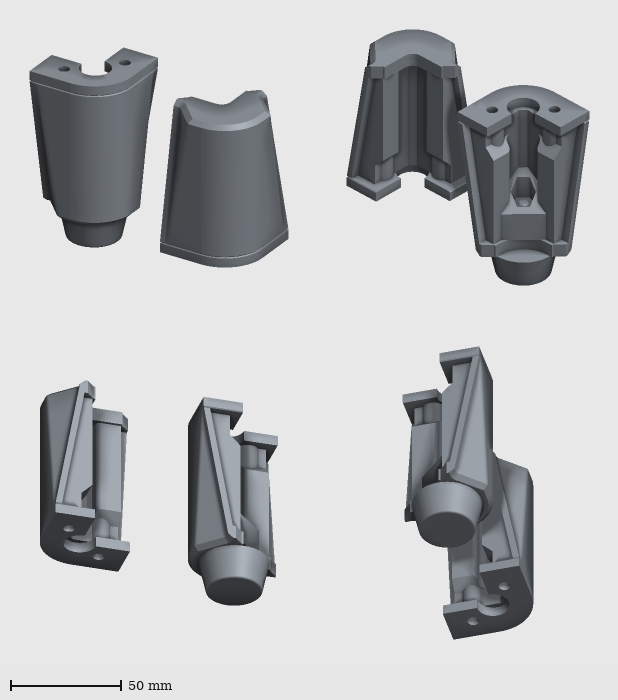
import cadquery as cq
import math


WIDTH = 42.1
ARM = 18.6
CORNER_RADIUS = 20.2
NOTCH_X = WIDTH - ARM
POST_PITCH = 70.0

PLATE_THICKNESS = 5.0
HOUSING_LENGTH = 60.4
CAP_THICKNESS = 6.5
POST_LENGTH = HOUSING_LENGTH + CAP_THICKNESS
LEFT_JOINT_Z = 82.0
RIGHT_JOINT_Z = 19.2
JOINT_CHAMFER = 0.5
CAP_EDGE_CHAMFER = 2.1

NOTCH_HOLE_DIAMETER = 15.0
SCREW_HOLE_DIAMETER = 5.4
SCREW_EDGE_DISTANCE = 10.1
SCREW_END_DISTANCE = 12.1

POCKET_SLOPE = 0.178
POCKET_CORNER_X = 3.5
POCKET_FILLET = 3.0
LIP_THICKNESS = 2.9
LIP_DEPTH = 4.3

CHANNEL_DEPTH = 5.0
CHANNEL_CORNER_CUT = 2.9
CHANNEL_MOUTH_Y = 28.6
CHANNEL_ROUND = 2.5
CHANNEL_BEVEL_START = (27.6, 25.5)
CHANNEL_BEVEL_END_Y = 23.3
RECESS_LENGTH = 10.0
BOSS_DIAMETER = 11.0

CAP_STEP = 1.5
CAP_END_CHAMFER = 4.1
CAP_END_SETBACK = 3.9
LEFT_CAP_INNER_RADIUS = 15.0
RIGHT_CAP_INNER_RADIUS = 4.76

FOOT_X = 21.4
FOOT_Y = WIDTH - FOOT_X
FOOT_TOP_Z = LEFT_JOINT_Z - POST_LENGTH
FOOT_TOP_RADIUS = 16.0
FOOT_BASE_RADIUS = 12.8
FOOT_EDGE_FILLET = 1.0
BOLT_DIAMETER = 5.0
BOLT_CHAMFER = 0.6
BOLT_BOTTOM_Z = 5.6
BOLT_TOP_Z = 37.2
NUT_FLATS = 9.9
NUT_TOP_Z = 36.5
NUT_HEIGHT = 4.5

GUSSET_WALL_OFFSET = 9.5
GUSSET_WALL_TOP_Z = 35.5
GUSSET_DEPTH = 5.0

BIG = 2 * WIDTH


def diagonal_mirror(shape):
    """Swap the two arms: mirror about the plane x + y = WIDTH."""
    return shape.mirror(cq.Vector(1, 1, 0), (WIDTH, 0, 0))


def on_both_arms(shape):
    return shape.union(diagonal_mirror(shape))


def outline_block(height):
    """Square block with the large rounded corner, standing on Z = 0."""
    block = cq.Workplane("XY").box(WIDTH, WIDTH, height, centered=False)
    return block.edges("|Z and >X and <Y").fillet(CORNER_RADIUS)


def inner_notch(offset=0.0):
    """Square cutter that turns the block into an L; offset makes the arms thicker."""
    notch = cq.Workplane("XY").box(BIG, BIG, 2 * BIG, centered=(True, True, True))
    return notch.translate((NOTCH_X - offset - BIG / 2, ARM + offset + BIG / 2, 0))


def near_screw_axis():
    return (SCREW_END_DISTANCE, SCREW_EDGE_DISTANCE)


def make_plate():
    plate = outline_block(PLATE_THICKNESS).faces(">Z").edges().chamfer(JOINT_CHAMFER)
    plate = plate.cut(inner_notch())
    notch_hole = cq.Workplane("XY").center(NOTCH_X, ARM).circle(NOTCH_HOLE_DIAMETER / 2)
    plate = plate.cut(notch_hole.extrude(PLATE_THICKNESS))
    screw_hole = cq.Workplane("XY").center(*near_screw_axis()).circle(SCREW_HOLE_DIAMETER / 2)
    plate = plate.cut(on_both_arms(screw_hole.extrude(PLATE_THICKNESS)))
    return plate.translate((0, 0, -PLATE_THICKNESS))


def pocket_cutter():
    """Prism leaning along +Y that cuts the arm end below a straight wall and a diagonal."""
    profile = [(-POCKET_CORNER_X, 0), (POCKET_CORNER_X, 0), (BIG, POCKET_CORNER_X - BIG)]
    profile.append((-POCKET_CORNER_X, POCKET_CORNER_X - BIG))
    prism = cq.Workplane("XY").polyline(profile).close().extrude(2 * BIG, both=True)
    corner = cq.selectors.NearestToPointSelector((POCKET_CORNER_X, 0, 0))
    prism = prism.edges("|Z").edges(corner).fillet(POCKET_FILLET)
    lean = math.degrees(math.atan(POCKET_SLOPE))
    return prism.rotate((0, 0, 0), (1, 0, 0), -lean)


def mouth_edges():
    """Selector of the two slanting edges between a pocket's diagonal and the outer face."""
    mid_height = POST_LENGTH / 2
    along = POCKET_CORNER_X + POCKET_SLOPE * mid_height
    near_edge = cq.selectors.NearestToPointSelector((along, 0, mid_height))
    far_edge = cq.selectors.NearestToPointSelector((WIDTH, WIDTH - along, mid_height))
    return near_edge + far_edge


def make_skin():
    """Outer form shared by a housing and its cap, before the inner side is cut."""
    skin = outline_block(POST_LENGTH).faces("<Z").edges().chamfer(JOINT_CHAMFER)
    skin = skin.cut(on_both_arms(pocket_cutter()))
    skin = skin.faces(">Z").edges("not(<X or >Y)").chamfer(CAP_EDGE_CHAMFER)
    return skin.edges(mouth_edges()).fillet(POCKET_FILLET)


def slab(bottom, top):
    block = cq.Workplane("XY").box(BIG, BIG, top - bottom, centered=(True, True, False))
    return block.translate((WIDTH / 2, WIDTH / 2, bottom))


def channel_cutter():
    """Central channel in the inner corner, mirrored about the diagonal."""
    wall_x = NOTCH_X + CHANNEL_DEPTH
    wall_y = WIDTH - wall_x
    diagonal = math.cos(math.radians(45))
    round_centre = (NOTCH_X + CHANNEL_ROUND, CHANNEL_MOUTH_Y)
    arc_middle = (
        round_centre[0] - CHANNEL_ROUND * diagonal,
        round_centre[1] - CHANNEL_ROUND * diagonal,
    )
    half = (
        cq.Workplane("XY")
        .moveTo(NOTCH_X - 1.1, CHANNEL_MOUTH_Y)
        .lineTo(NOTCH_X, CHANNEL_MOUTH_Y)
        .threePointArc(arc_middle, (round_centre[0], CHANNEL_MOUTH_Y - CHANNEL_ROUND))
        .lineTo(*CHANNEL_BEVEL_START)
        .lineTo(wall_x, CHANNEL_BEVEL_END_Y)
        .lineTo(wall_x, wall_y + CHANNEL_CORNER_CUT)
        .lineTo(wall_x - CHANNEL_CORNER_CUT, wall_y)
        .lineTo(NOTCH_X - 1.1, wall_y)
        .close()
        .extrude(HOUSING_LENGTH)
    )
    return on_both_arms(half)


def near_recess_cutter():
    """Recess beside the plate on the near arm's inner face, around the screw boss."""
    recess = (
        cq.Workplane("YZ")
        .moveTo(ARM - CHANNEL_DEPTH, 0)
        .lineTo(ARM - CHANNEL_DEPTH, RECESS_LENGTH)
        .lineTo(ARM, RECESS_LENGTH + CHANNEL_DEPTH)
        .lineTo(ARM, 0)
        .close()
        .extrude(NOTCH_X)
    )
    boss = cq.Workplane("XY").center(*near_screw_axis()).circle(BOSS_DIAMETER / 2)
    return recess.cut(boss.extrude(RECESS_LENGTH + CHANNEL_DEPTH))


def near_lip_cutter():
    """Step at the arm end that leaves a leaning lip of even thickness beside the pocket."""
    lip_growth = POCKET_SLOPE * HOUSING_LENGTH
    return (
        cq.Workplane("YZ")
        .moveTo(LIP_THICKNESS, 0)
        .lineTo(LIP_THICKNESS + lip_growth, HOUSING_LENGTH)
        .lineTo(WIDTH, HOUSING_LENGTH)
        .lineTo(WIDTH, 0)
        .close()
        .extrude(LIP_DEPTH)
    )


def make_housing():
    housing = make_skin().intersect(slab(0, HOUSING_LENGTH))
    housing = housing.cut(inner_notch())
    housing = housing.cut(channel_cutter())
    housing = housing.cut(on_both_arms(near_recess_cutter()))
    return housing.cut(on_both_arms(near_lip_cutter()))


def near_cap_end_cutter():
    """Step and 45 degree chamfer at the inner corner of the near arm end."""
    inner_y = ARM + CAP_STEP
    chamfer_y = inner_y - (inner_y - ARM) / 2
    return (
        cq.Workplane("XY")
        .moveTo(0, chamfer_y - CAP_END_CHAMFER)
        .lineTo(CAP_END_SETBACK, chamfer_y - CAP_END_CHAMFER + CAP_END_SETBACK)
        .lineTo(CAP_END_SETBACK, WIDTH)
        .lineTo(0, WIDTH)
        .close()
        .extrude(POST_LENGTH)
    )


def make_cap(inner_radius):
    cap = make_skin().intersect(slab(HOUSING_LENGTH, POST_LENGTH))
    notch = inner_notch(CAP_STEP).edges("|Z and >X and <Y").fillet(inner_radius)
    cap = cap.cut(notch)
    return cap.cut(on_both_arms(near_cap_end_cutter()))


def place_left(body):
    """Turn a post body upside down so that its plate is on top."""
    return body.mirror("XY").translate((0, 0, LEFT_JOINT_Z))


def place_right(body):
    return body.translate((POST_PITCH, 0, RIGHT_JOINT_Z))


def foot_axis_cylinder(diameter, bottom, top):
    circle = cq.Workplane("XY", origin=(FOOT_X, FOOT_Y, bottom)).circle(diameter / 2)
    return circle.extrude(top - bottom)


def make_bolt():
    bolt = foot_axis_cylinder(BOLT_DIAMETER, BOLT_BOTTOM_Z, BOLT_TOP_Z)
    return bolt.faces(">Z").chamfer(BOLT_CHAMFER)


def bolt_clearance():
    return foot_axis_cylinder(BOLT_DIAMETER, BOLT_BOTTOM_Z, BOLT_TOP_Z)


def hex_prism(bottom, top):
    """Hexagon with one pair of flats square to the diagonal of the post."""
    corner_diameter = NUT_FLATS / math.cos(math.radians(30))
    prism = cq.Workplane("XY").polygon(6, corner_diameter).extrude(top - bottom)
    return prism.rotate((0, 0, 0), (0, 0, 1), 45).translate((FOOT_X, FOOT_Y, bottom))


def make_nut():
    return hex_prism(NUT_TOP_Z - NUT_HEIGHT, NUT_TOP_Z).cut(bolt_clearance())


def make_foot():
    foot = (
        cq.Workplane("XZ")
        .lineTo(FOOT_BASE_RADIUS, 0)
        .lineTo(FOOT_TOP_RADIUS, FOOT_TOP_Z)
        .lineTo(0, FOOT_TOP_Z)
        .close()
        .revolve(360, (0, 0, 0), (0, 1, 0))
    )
    foot = foot.faces("<Z").edges().fillet(FOOT_EDGE_FILLET)
    return foot.translate((FOOT_X, FOOT_Y, 0)).cut(bolt_clearance())


def make_gusset():
    bottom = LEFT_JOINT_Z - HOUSING_LENGTH
    wall = -GUSSET_WALL_OFFSET / math.sqrt(2)
    across = cq.Plane(origin=(0, 0, 0), xDir=(1, -1, 0), normal=(-1, -1, 0))
    wedge = (
        cq.Workplane(across)
        .moveTo(wall, bottom)
        .lineTo(wall, GUSSET_WALL_TOP_Z)
        .lineTo(wall + WIDTH, GUSSET_WALL_TOP_Z + WIDTH)
        .lineTo(wall + WIDTH, bottom)
        .close()
        .extrude(BIG, both=True)
    )
    footprint = (
        cq.Workplane("XY", origin=(0, 0, bottom))
        .moveTo(ARM - GUSSET_WALL_OFFSET, ARM)
        .lineTo(NOTCH_X, NOTCH_X + GUSSET_WALL_OFFSET)
        .lineTo(NOTCH_X + GUSSET_DEPTH, NOTCH_X + GUSSET_WALL_OFFSET)
        .lineTo(NOTCH_X + GUSSET_DEPTH, ARM - GUSSET_DEPTH)
        .lineTo(ARM - GUSSET_WALL_OFFSET, ARM - GUSSET_DEPTH)
        .close()
        .extrude(HOUSING_LENGTH)
    )
    return wedge.intersect(footprint)


left_plate = place_left(make_plate())
left_housing = place_left(make_housing()).union(make_gusset())
left_housing = left_housing.cut(hex_prism(NUT_TOP_Z - NUT_HEIGHT, LEFT_JOINT_Z)).cut(bolt_clearance())
left_cap = place_left(make_cap(LEFT_CAP_INNER_RADIUS)).cut(bolt_clearance())
right_plate = place_right(make_plate())
right_housing = place_right(make_housing())
right_cap = place_right(make_cap(RIGHT_CAP_INNER_RADIUS))
foot = make_foot()
bolt = make_bolt()
nut = make_nut()

result = cq.Compound.makeCompound(
    [
        left_plate.val(),
        left_housing.val(),
        left_cap.val(),
        right_plate.val(),
        right_housing.val(),
        right_cap.val(),
        foot.val(),
        bolt.val(),
        nut.val(),
    ]
)